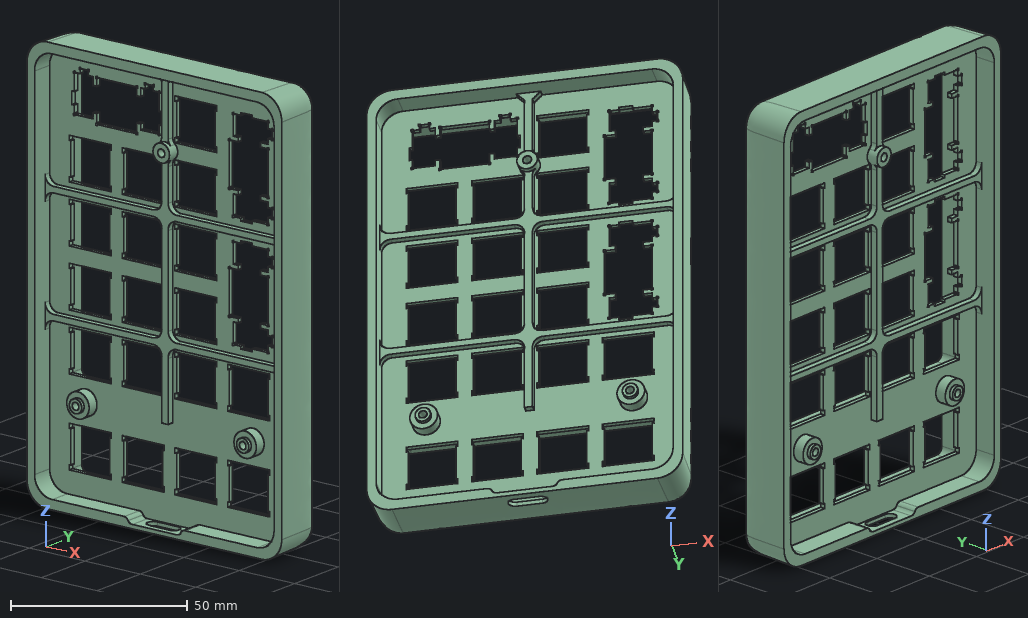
import cadquery as cq
import math


width = 92.0
height = 139.0
depth = 16.0
corner_radius = 7.4
back_edge_inset = 1.8
crown_start = 13.2
crown_end = 15.5
crown_end_inset = 0.5

side_wall = 2.8
end_wall = 3.2
cavity_corner_radius = 6.3
plate_front = 7.0
plate_thickness = 1.5
plate_back = plate_front + plate_thickness

key_pitch = 19.0
columns = 4
bottom_row_z = -52.1
block_gap = key_pitch / 2
upper_row_z = bottom_row_z + key_pitch + block_gap
upper_rows = 5
mid_gap_z = bottom_row_z + (key_pitch + block_gap) / 2
spine_boss_z = upper_row_z + 3.5 * key_pitch

switch_size = 13.9
notch_span = 15.0
notch_height = 1.5

stab_center_span = 14.5
stab_inner = 8.6
stab_outer = 15.3
stab_top = 7.0
stab_bottom = -5.5
stab_tab_inner = 10.3
stab_tab_outer = 13.2
stab_tab_top = 8.5
stab_side_reach = 16.1
stab_side_top = 1.3
stab_side_bottom = -2.8
upper_finger_reach = 2.6
lower_finger_reach = 1.8
relief_radius = 0.35

recess_clearance = 0.5
recess_corner_radius = 2.1

rib_height = 2.1
spine_width = 2.4
cross_rib_width = 2.0
rib_fillet = 3.0
spine_flare = 2.4

boss_diameter = 8.0
boss_height = 3.6
boss_pin_diameter = 4.5
boss_pin_height = 1.1
boss_hole_diameter = 2.4
boss_x = 30.2
spine_boss_diameter = 6.0
spine_boss_height = 3.8
spine_boss_fillet = 2.5
spine_boss_hole_diameter = 2.5

port_relief_depth = 1.8
port_relief_bottom_width = 16.1
port_relief_top_width = 22.0
port_length = 11.4
port_opening = 3.9
port_y = 4.3


def column_x(index):
    return (index - (columns - 1) / 2) * key_pitch


def row_z(index):
    """Height of a row of the upper block, counted up from its lowest row."""
    return upper_row_z + index * key_pitch


def plane_at(y):
    """Sketch plane with local x along X and local y along Z; it extrudes towards -Y."""
    return cq.Workplane("XZ", origin=(0, y, 0))


def block(x_min, x_max, z_min, z_max, y_min, y_max):
    return cq.Workplane("XY").box(
        x_max - x_min, y_max - y_min, z_max - z_min, centered=False
    ).translate((x_min, y_min, z_min))


def cylinder(diameter, x, z, y_min, y_max):
    return plane_at(y_max).center(x, z).circle(diameter / 2).extrude(y_max - y_min)


def make_shell():
    """Rounded box whose side walls curve inwards towards the back, with its front cavity."""
    margin = 1.4
    body = block(
        -width / 2 - margin, width / 2 + margin, -height / 2 - margin, height / 2 + margin, 0, depth
    )
    outline = (
        block(-width / 2, width / 2, -height / 2, height / 2, 0, depth)
        .edges("|Y").fillet(corner_radius)
        .faces("<Y").wires()
    )
    trim = (
        cq.Workplane("XY", origin=(width / 2, 0, 0))
        .bezier([(0, 0), (0, crown_start), (-crown_end_inset, crown_end), (-back_edge_inset, depth)])
        .lineTo(-back_edge_inset, depth + margin)
        .lineTo(3 * margin, depth + margin)
        .lineTo(3 * margin, -margin)
        .lineTo(0, -margin)
        .close()
        .sweep(outline, transition="round")
    )
    center_piece = cq.selectors.NearestToPointSelector((0, depth / 2, 0))
    body = cq.Workplane(body.cut(trim).solids(center_piece).val())
    cavity = block(
        side_wall - width / 2, width / 2 - side_wall,
        end_wall - height / 2, height / 2 - end_wall,
        0, plate_front,
    ).edges("|Y").fillet(cavity_corner_radius)
    return body.cut(cavity)


def key_recess(z_low_row, rows):
    half_width = columns * key_pitch / 2 + recess_clearance
    z_min = z_low_row - key_pitch / 2 - recess_clearance
    z_max = z_low_row + (rows - 0.5) * key_pitch + recess_clearance
    recess = block(-half_width, half_width, z_min, z_max, plate_back, depth)
    return recess.edges("|Y").fillet(recess_corner_radius)


def through_plate(x_min, x_max, z_min, z_max):
    return block(x_min, x_max, z_min, z_max, plate_front, plate_back)


def switch_opening(x, z):
    half = switch_size / 2
    opening = through_plate(-half, half, -half, half)
    for z_min in (-half, half - notch_height):
        notch = through_plate(-notch_span / 2, notch_span / 2, z_min, z_min + notch_height)
        opening = opening.union(notch)
    return opening.translate((x, 0, z))


def stabilizer_wing():
    """Right-hand wing of a stabilizer opening, up to its switch opening."""
    half_span = stab_center_span / 2
    half = switch_size / 2
    neck_bottom = stab_bottom + lower_finger_reach
    neck_top = stab_top - upper_finger_reach
    wing = through_plate(stab_inner, stab_outer, stab_bottom, stab_top)
    wing = wing.union(through_plate(half_span, stab_inner, neck_bottom, neck_top))
    wing = wing.union(through_plate(stab_tab_inner, stab_tab_outer, 0, stab_tab_top))
    wing = wing.union(
        through_plate(stab_inner, stab_side_reach, stab_side_bottom, stab_side_top)
    )
    relieved_corners = [
        (half_span, half),
        (half_span, -half),
        (stab_tab_inner, stab_tab_top),
        (stab_tab_outer, stab_tab_top),
        (stab_outer, stab_top),
        (stab_outer, stab_bottom),
    ]
    for x, z in relieved_corners:
        wing = wing.union(cylinder(2 * relief_radius, x, z, plate_front, plate_back))
    return wing


def stabilizer_opening():
    """Opening for a double-width key, centred on the origin with its tabs pointing up."""
    half_span = stab_center_span / 2
    half = switch_size / 2
    wing = stabilizer_wing()
    opening = through_plate(-half_span, half_span, -half, half)
    return opening.union(wing).union(wing.mirror("YZ"))


def inner_corner(x, z, x_side, z_side, radius):
    """Concave fillet filling the quadrant at (x, z) that opens towards the given sides."""
    x_far = x + x_side * radius
    z_far = z + z_side * radius
    bulge = radius * (1 - math.sqrt(0.5))
    return (
        plane_at(plate_front)
        .moveTo(x, z)
        .lineTo(x_far, z)
        .threePointArc((x + x_side * bulge, z + z_side * bulge), (x, z_far))
        .close()
        .extrude(rib_height)
    )


def make_spine(rib_front):
    """Upright rib, widened where it meets the upper wall and blended around its boss."""
    half_spine = spine_width / 2
    z_wall = height / 2 - end_wall
    spine = block(-half_spine, half_spine, mid_gap_z, z_wall, rib_front, plate_front)
    collar = cylinder(spine_boss_diameter, 0, spine_boss_z, rib_front, plate_front)
    collar_corners = cq.selectors.BoxSelector(
        (-spine_width, 0, spine_boss_z - spine_boss_diameter),
        (spine_width, depth, spine_boss_z + spine_boss_diameter),
    )
    spine = spine.union(collar).edges("|Y").edges(collar_corners).fillet(spine_boss_fillet)
    flare = (
        plane_at(plate_front)
        .polyline([
            (-half_spine - spine_flare, z_wall),
            (half_spine + spine_flare, z_wall),
            (half_spine, z_wall - spine_flare),
            (-half_spine, z_wall - spine_flare),
        ])
        .close()
        .extrude(rib_height)
    )
    return spine.union(flare)


def make_cross_rib(z, rib_front):
    """Level rib from wall to wall, with round corners at the walls and at the spine."""
    half_cross = cross_rib_width / 2
    x_spine = spine_width / 2
    x_wall = width / 2 - side_wall
    rib = block(-x_wall, x_wall, z - half_cross, z + half_cross, rib_front, plate_front)
    for x_side in (-1, 1):
        for z_side in (-1, 1):
            z_edge = z + z_side * half_cross
            rib = rib.union(inner_corner(x_side * x_spine, z_edge, x_side, z_side, rib_fillet))
            rib = rib.union(inner_corner(x_side * x_wall, z_edge, -x_side, z_side, rib_fillet))
    return rib


def make_ribs():
    rib_front = plate_front - rib_height
    ribs = make_spine(rib_front)
    for row in (0.5, 2.5):
        ribs = ribs.union(make_cross_rib(row_z(row), rib_front))
    return ribs


def add_bosses(part):
    boss_top = plate_front - boss_height
    pin_top = boss_top - boss_pin_height
    for x in (-boss_x, boss_x):
        part = part.union(cylinder(boss_diameter, x, mid_gap_z, boss_top, plate_front))
        part = part.union(cylinder(boss_pin_diameter, x, mid_gap_z, pin_top, plate_front))
        part = part.cut(cylinder(boss_hole_diameter, x, mid_gap_z, pin_top, plate_front))
    top = plate_front - spine_boss_height
    part = part.union(cylinder(spine_boss_diameter, 0, spine_boss_z, top, plate_front))
    return part.cut(cylinder(spine_boss_hole_diameter, 0, spine_boss_z, top, plate_front))


def cut_port(part):
    z_wall = end_wall - height / 2
    z_floor = z_wall - port_relief_depth
    half_floor = port_relief_bottom_width / 2
    half_top = port_relief_top_width / 2
    half_relief = (
        plane_at(plate_front)
        .moveTo(0, z_floor)
        .lineTo(half_floor, z_floor)
        .tangentArcPoint(((half_floor + half_top) / 2, z_floor + port_relief_depth / 2), relative=False)
        .tangentArcPoint((half_top, z_wall), relative=False)
        .lineTo(0, z_wall)
        .close()
        .extrude(plate_front)
    )
    relief = half_relief.union(half_relief.mirror("YZ"))
    slot = (
        cq.Workplane("XY", origin=(0, port_y, -height / 2))
        .slot2D(port_length, port_opening)
        .extrude(end_wall)
    )
    return part.cut(relief).cut(slot)


def cut_key_openings(part):
    """Single keys in a grid, one wide key at the upper left and two tall keys at the right."""
    x_right = column_x(columns - 1)
    x_left_pair = column_x(0.5)
    top_row = upper_rows - 1
    single_keys = [(column, bottom_row_z) for column in range(columns)]
    single_keys += [(column, row_z(0)) for column in range(columns)]
    single_keys += [(column, row_z(row)) for column in range(columns - 1) for row in range(1, top_row)]
    single_keys.append((columns - 2, row_z(top_row)))
    for column, z in single_keys:
        part = part.cut(switch_opening(column_x(column), z))
    stabilizer = stabilizer_opening()
    part = part.cut(stabilizer.translate((x_left_pair, 0, row_z(top_row))))
    upright = stabilizer.rotate((0, 0, 0), (0, 1, 0), 90)
    for row in (1.5, 3.5):
        part = part.cut(upright.translate((x_right, 0, row_z(row))))
    return part


housing = make_shell()
housing = housing.cut(key_recess(bottom_row_z, 1))
housing = housing.cut(key_recess(upper_row_z, upper_rows))
housing = housing.union(make_ribs())
housing = add_bosses(housing)
housing = cut_port(housing)
result = cut_key_openings(housing)